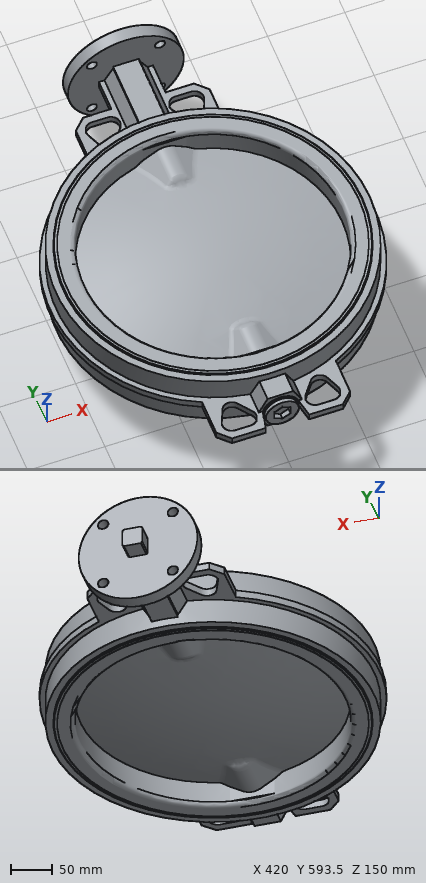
import cadquery as cq
import math

body_radius = 203.0
body_half_height = 38.5
rim_radius = 210.0
plate_thickness = 10.0
liner_radius = 193.5
liner_step_radius = 189.0
liner_half_height = 41.0
liner_step = 0.5
liner_chamfer = 1.0
bore_radius = 167.0
bore_rounding = 6.0
bore_flat_offset = 164.5

disc_edge_half_height = 6.0
disc_centre_half_height = 29.5
disc_rise = disc_centre_half_height - disc_edge_half_height
dome_radius = (bore_radius**2 + disc_rise**2) / (2 * disc_rise)
disc_trim_allowance = 3.0
disc_blank_radius = bore_radius + disc_trim_allowance

hub_radius = 21.5
hub_axis_height = 5.5
hub_side_angle = 32.0
hub_end = 116.0
hub_end_angle = 45.0
hub_end_fillet = 12.0
hub_root_fillet = 12.0
hub_zone_half_width = 47.5

lug_half_width = 86.5
lug_reach = 254.5
lug_chamfer = 15.0
eye_rounding = 12.0
eye_lobes = [(44.0, 232.5), (64.0, 232.5), (57.0, 215.5)]
notch_floor_half_width = 23.0
notch_mouth_half_width = 28.0

hex_half_height = 28.0
hex_half_width = 28.0
hex_flat_half_width = 16.5
neck_shoulder_height = 24.5
neck_web_half_width = 35.0
boss_end = 230.0

cap_radius = 21.5
cap_length = 7.0
cap_collar_radius = 23.0
cap_collar_length = 2.0
socket_across_flats = 21.0
socket_depth = 7.0

overall_length = 593.5
shaft_end = overall_length - lug_reach
flange_back = 297.5
flange_thickness = 18.0
flange_diameter = 150.0
flange_bolt_circle_radius = 62.5
flange_hole_diameter = 13.0
flange_hole_count = 4
flange_hole_start_angle = 45
shaft_square = 25.0
shaft_chamfer = 2.0


def disc_of(radius, half_height):
    """Cylinder on the Z axis, centred on the mid plane."""
    return cq.Workplane("XY").circle(radius).extrude(half_height, both=True)


def along_y(start):
    """Sketch plane at y = start: local x is -X, local y is +Z, extruding towards +Y."""
    return cq.Workplane(cq.Plane((0, start, 0), xDir=(-1, 0, 0), normal=(0, 1, 0)))


def bar_hexagon(shoulder_height):
    """Hexagon corners of the neck and boss, pointed towards +X and -X at the plate."""
    half_plate = plate_thickness / 2
    upper = [(hex_half_width, half_plate), (hex_flat_half_width, shoulder_height)]
    upper += [(-x, z) for x, z in reversed(upper)]
    return upper + [(-x, -z) for x, z in upper]


def make_lug_plate():
    """Thin plate with chamfered corners, four eyes and a notch under the cap, plus the round rim."""
    plate = (
        cq.Workplane("XY")
        .rect(2 * lug_half_width, 2 * lug_reach)
        .extrude(plate_thickness / 2, both=True)
        .edges("|Z")
        .chamfer(lug_chamfer)
    )
    notch = (
        cq.Workplane("XY")
        .polyline([
            (-notch_floor_half_width, -boss_end),
            (notch_floor_half_width, -boss_end),
            (notch_mouth_half_width, -lug_reach),
            (-notch_mouth_half_width, -lug_reach),
        ])
        .close()
        .extrude(plate_thickness, both=True)
    )
    eye = (
        cq.Workplane("XY")
        .polyline(eye_lobes)
        .close()
        .offset2D(eye_rounding)
        .extrude(plate_thickness, both=True)
    )
    eye_pair = eye.union(eye.mirror("YZ"))
    plate = plate.cut(notch).cut(eye_pair).cut(eye_pair.mirror("XZ"))
    return plate.union(disc_of(rim_radius, plate_thickness / 2))


def make_neck():
    """Hexagonal neck with a raised strip on its top and bottom, and side webs beyond the lugs."""
    neck_hexagon = bar_hexagon(neck_shoulder_height)
    neck = along_y(0).polyline(neck_hexagon).close().extrude(flange_back)
    strip = along_y(0).rect(2 * hex_flat_half_width, 2 * hex_half_height).extrude(flange_back)
    web_length = flange_back - lug_reach
    web = along_y(lug_reach).rect(2 * neck_web_half_width, plate_thickness).extrude(web_length)
    return neck.union(strip).union(web)


def make_boss():
    """Hexagonal boss closed by the bearing cap."""
    boss = along_y(-boss_end).polyline(bar_hexagon(hex_half_height)).close().extrude(boss_end)
    cap_end = boss_end + cap_length
    cap = along_y(-cap_end).circle(cap_radius).extrude(cap_length)
    collar = along_y(-boss_end - cap_collar_length).circle(cap_collar_radius).extrude(cap_collar_length)
    socket_diameter = socket_across_flats / math.cos(math.pi / 6)
    socket = (
        along_y(-cap_end)
        .transformed(rotate=(0, 0, 90))
        .polygon(6, socket_diameter)
        .extrude(socket_depth)
    )
    return boss.union(cap).union(collar).cut(socket)


def make_actuator_end():
    """Round flange with four bolt holes and the square end of the shaft."""
    flange = along_y(flange_back).circle(flange_diameter / 2).extrude(flange_thickness)
    holes = (
        along_y(flange_back)
        .polarArray(flange_bolt_circle_radius, flange_hole_start_angle, 360, flange_hole_count)
        .circle(flange_hole_diameter / 2)
        .extrude(flange_thickness)
    )
    shaft = (
        along_y(flange_back)
        .rect(shaft_square, shaft_square)
        .extrude(shaft_end - flange_back)
        .edges("|Y")
        .chamfer(shaft_chamfer)
    )
    return flange.cut(holes).union(shaft)


def make_ring_body():
    """Body and rubber liner, still without the bore."""
    step_half_height = liner_half_height - liner_step
    liner = disc_of(liner_radius, step_half_height).faces("|Z").chamfer(liner_chamfer)
    inner_liner = disc_of(liner_step_radius, liner_half_height)
    return disc_of(body_radius, body_half_height).union(liner).union(inner_liner)


def make_bore():
    """Cutter for the bore: flats at the hubs and a mouth flared by a rounding."""
    flats = (
        cq.Workplane("XY")
        .rect(2 * bore_radius, 2 * bore_flat_offset)
        .extrude(liner_half_height, both=True)
    )
    bore = disc_of(bore_radius, liner_half_height).intersect(flats)
    rounding_start = liner_half_height - bore_rounding
    flare = (
        cq.Workplane("XZ")
        .moveTo(0, rounding_start)
        .lineTo(bore_radius, rounding_start)
        .radiusArc((bore_radius + bore_rounding, liner_half_height), bore_rounding)
        .lineTo(0, liner_half_height)
        .close()
        .revolve(360, (0, 0, 0), (0, 1, 0))
    )
    return bore.union(flare).union(flare.mirror("XY"))


def make_hub():
    """Upper hub on the +Y side: a round-topped ridge with a sloping, round-cornered end."""
    angle = math.radians(hub_side_angle)
    shoulder_x = hub_radius * math.sin(angle)
    shoulder_z = hub_axis_height + hub_radius * math.cos(angle)
    foot_x = shoulder_x + shoulder_z / math.tan(angle)
    top = hub_axis_height + hub_radius
    ridge = (
        along_y(0)
        .moveTo(foot_x, 0)
        .lineTo(shoulder_x, shoulder_z)
        .threePointArc((0, top), (-shoulder_x, shoulder_z))
        .lineTo(-foot_x, 0)
        .close()
        .extrude(disc_blank_radius)
    )
    foot_y = hub_end - top / math.tan(math.radians(hub_end_angle))
    end_trim = (
        cq.Workplane("YZ")
        .polyline([(foot_y, 0), (hub_end, top), (disc_blank_radius, top), (disc_blank_radius, 0)])
        .close()
        .extrude(foot_x, both=True)
    )
    hub = ridge.intersect(end_trim)
    hub = hub.faces("<Y").edges("not |X").fillet(hub_end_fillet)
    return hub.intersect(disc_of(disc_blank_radius, liner_half_height))


def make_disc():
    """Disc with its four hubs, two on each face, trimmed to fit the bore."""
    dome = (
        cq.Workplane("XY")
        .sphere(dome_radius)
        .translate((0, 0, disc_centre_half_height - dome_radius))
        .intersect(cq.Workplane("XY").circle(disc_blank_radius).extrude(liner_half_height))
    )
    hub = make_hub()
    upper_half = dome.union(hub).union(hub.mirror("XZ"))
    hub_roots = upper_half.faces("%SPHERE").edges(
        cq.selectors.BoxSelector(
            (-hub_zone_half_width, -bore_flat_offset, disc_edge_half_height),
            (hub_zone_half_width, bore_flat_offset, disc_centre_half_height),
        )
    )
    upper_half = hub_roots.fillet(hub_root_fillet)
    return upper_half.union(upper_half.mirror("XY")).intersect(make_bore())


result = make_ring_body().union(make_lug_plate()).union(make_neck()).union(make_boss())
result = result.cut(make_bore()).union(make_actuator_end()).union(make_disc())